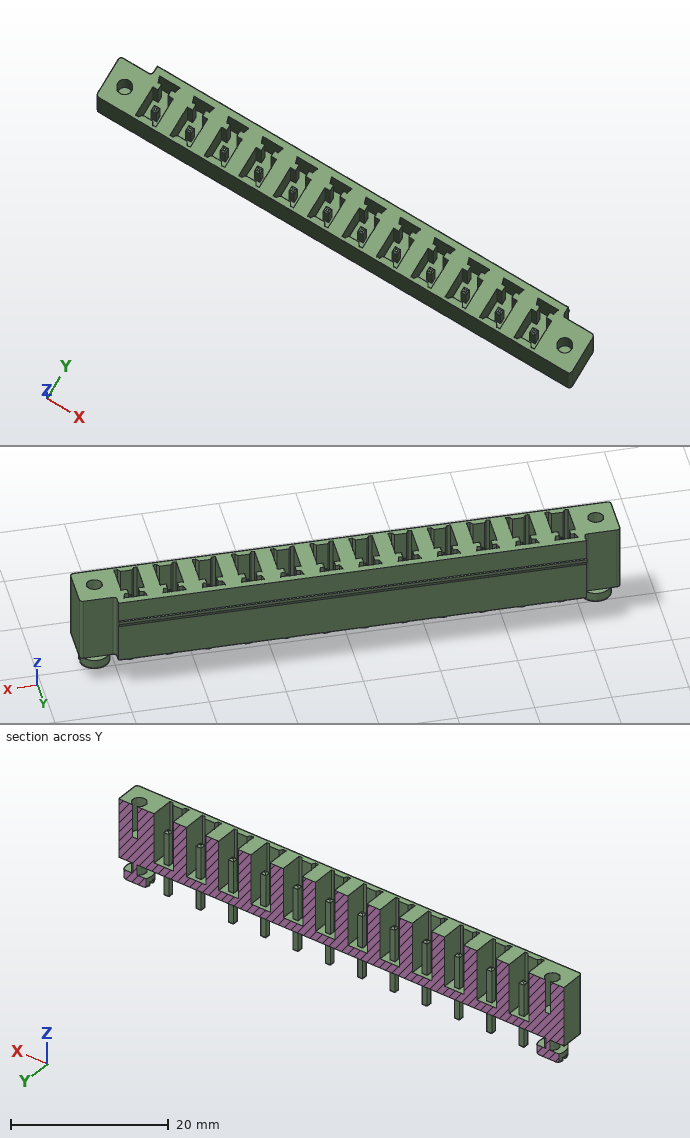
import cadquery as cq

LENGTH = 70.08
HEIGHT = 9.1
TOTAL_HEIGHT = 12.6
FLANGE_DEPTH = 5.95
TOTAL_DEPTH = 7.55
RIDGE_HEIGHT = 0.25
BODY_DEPTH = TOTAL_DEPTH - RIDGE_HEIGHT
FLANGE_LENGTH = 4.7
BODY_LENGTH = LENGTH - 2 * FLANGE_LENGTH
CORNER_RADIUS = 0.45

RIDGE_TOP = HEIGHT - 2.85
RIDGE_FLAT = 0.4
RIDGE_SLOPE = 0.5

POLES = 12
PITCH = 5.08
AXIS_Y = 2.85
PIN_WIDTH = 0.8
PIN_TIP = 0.25
PIN_BOTTOM = HEIGHT - TOTAL_HEIGHT
PIN_TOP = HEIGHT - 2.5

FLOOR = 1.5
CAVITY_WIDTH = 3.0
CAVITY_FRONT = 0.45
NECK_FRONT = 4.7
NECK_REAR = 5.55
NECK_WIDTH = 1.45
KEYWAY_REAR = 6.35
KEYWAY_WIDTH = 2.5
RIB_BASE_WIDTH = 2.1
RIB_TIP_WIDTH = 1.5
RIB_HEIGHT = 0.45

SCREW_X = 32.5
SHANK_DIAMETER = 2.0
HEAD_DIAMETER = 4.0
HEAD_TOP = -1.5
HEAD_BOTTOM = -3.0
HEAD_ROUNDING = 0.4
SLOT_WIDTH = 0.8
SLOT_DEPTH = 0.7
BORE_DIAMETER = 2.0
BORE_DEPTH = 5.0

PIN_XS = [(i - (POLES - 1) / 2) * PITCH for i in range(POLES)]


def make_housing():
    flanges = cq.Workplane("XY").box(LENGTH, FLANGE_DEPTH, HEIGHT, centered=(True, False, False))
    flanges = flanges.edges("|Z").fillet(CORNER_RADIUS)
    body = cq.Workplane("XY").box(BODY_LENGTH, BODY_DEPTH, HEIGHT, centered=(True, False, False))
    housing = flanges.union(body)
    step_corners = cq.selectors.BoxSelector(
        (-LENGTH / 2, FLANGE_DEPTH - CORNER_RADIUS / 2, 0),
        (LENGTH / 2, FLANGE_DEPTH + CORNER_RADIUS / 2, HEIGHT),
    )
    return housing.edges("|Z").edges(step_corners).fillet(CORNER_RADIUS)


def make_ridge():
    slope_top = RIDGE_TOP - RIDGE_FLAT
    profile = [
        (BODY_DEPTH, RIDGE_TOP),
        (TOTAL_DEPTH, RIDGE_TOP),
        (TOTAL_DEPTH, slope_top),
        (BODY_DEPTH, slope_top - RIDGE_SLOPE),
    ]
    return cq.Workplane("YZ").polyline(profile).close().extrude(BODY_LENGTH / 2, both=True)


def make_cavity():
    half = CAVITY_WIDTH / 2
    neck = NECK_WIDTH / 2
    key = KEYWAY_WIDTH / 2
    rib_base = RIB_BASE_WIDTH / 2
    rib_tip = RIB_TIP_WIDTH / 2
    return (
        cq.Workplane("XY", origin=(0, 0, FLOOR))
        .moveTo(-rib_base, CAVITY_FRONT)
        .lineTo(-rib_tip, CAVITY_FRONT + RIB_HEIGHT)
        .lineTo(rib_tip, CAVITY_FRONT + RIB_HEIGHT)
        .lineTo(rib_base, CAVITY_FRONT)
        .lineTo(half, CAVITY_FRONT)
        .lineTo(half, NECK_FRONT)
        .lineTo(neck, NECK_FRONT)
        .lineTo(neck, NECK_REAR)
        .lineTo(key, NECK_REAR)
        .lineTo(half, KEYWAY_REAR)
        .lineTo(-half, KEYWAY_REAR)
        .lineTo(-key, NECK_REAR)
        .lineTo(-neck, NECK_REAR)
        .lineTo(-neck, NECK_FRONT)
        .lineTo(-half, NECK_FRONT)
        .lineTo(-half, CAVITY_FRONT)
        .close()
        .extrude(HEIGHT - FLOOR)
    )


def make_pin():
    pin = cq.Workplane("XY", origin=(0, AXIS_Y, PIN_BOTTOM)).rect(PIN_WIDTH, PIN_WIDTH)
    return pin.extrude(PIN_TOP - PIN_BOTTOM).faces("<Z or >Z").chamfer(PIN_TIP)


def make_screw():
    head_top = cq.Workplane("XY", origin=(0, AXIS_Y, HEAD_TOP))
    shank = head_top.circle(SHANK_DIAMETER / 2).extrude(-HEAD_TOP)
    head_bottom = cq.Workplane("XY", origin=(0, AXIS_Y, HEAD_BOTTOM))
    head = (
        head_bottom.circle(HEAD_DIAMETER / 2)
        .extrude(HEAD_TOP - HEAD_BOTTOM)
        .faces("<Z")
        .fillet(HEAD_ROUNDING)
    )
    slot = head_bottom.rect(HEAD_DIAMETER, SLOT_WIDTH).extrude(SLOT_DEPTH)
    return shank.union(head.cut(slot))


def make_bore():
    top = cq.Workplane("XY", origin=(0, AXIS_Y, HEIGHT))
    return top.circle(BORE_DIAMETER / 2).extrude(-BORE_DEPTH)


result = make_housing().union(make_ridge())

for pin_x in PIN_XS:
    result = result.cut(make_cavity().translate((pin_x, 0, 0)))
    result = result.union(make_pin().translate((pin_x, 0, 0)))

for screw_x in (-SCREW_X, SCREW_X):
    result = result.union(make_screw().translate((screw_x, 0, 0)))
    result = result.cut(make_bore().translate((screw_x, 0, 0)))